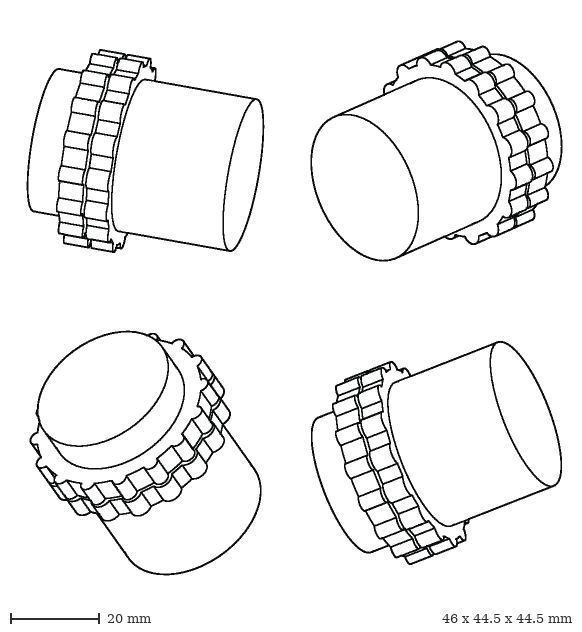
import cadquery as cq
import math

total_length = 46.0
front_diameter = 32.7
rear_diameter = 34.8

tip_radius = 44.5 / 2
root_radius = 20.5
knob_count = 16
front_ring_start = 8.4
front_ring_width = 5.6
front_knob_radius = 1.8
ring_gap = 0.85
rear_ring_width = 5.1
rear_knob_radius = 2.55
rear_ring_start = front_ring_start + front_ring_width + ring_gap


def cylinder(start, length, radius, y=0, z=0):
    """Solid cylinder running along +X from the plane x = start."""
    return cq.Workplane("YZ", origin=(start, y, z)).circle(radius).extrude(length)


def grip_ring(start, width, knob_radius):
    """Disc with evenly spaced round knobs that all reach the tip radius."""
    ring = cylinder(start, width, root_radius)
    centre_radius = tip_radius - knob_radius
    for index in range(knob_count):
        angle = 2 * math.pi * index / knob_count
        y = centre_radius * math.cos(angle)
        z = centre_radius * math.sin(angle)
        ring = ring.union(cylinder(start, width, knob_radius, y, z))
    return ring


front_core = cylinder(0, rear_ring_start, front_diameter / 2)
rear_core = cylinder(rear_ring_start, total_length - rear_ring_start, rear_diameter / 2)

front_ring = grip_ring(front_ring_start, front_ring_width, front_knob_radius)
rear_ring = grip_ring(rear_ring_start, rear_ring_width, rear_knob_radius)

result = front_core.union(rear_core).union(front_ring).union(rear_ring)